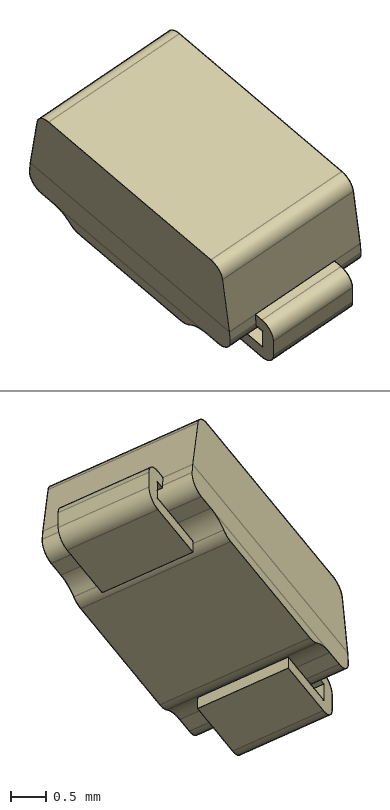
import cadquery as cq
import math

length = 5.0
depth = 2.48
height = 2.02

parting_z = 0.8
body_bottom_z = 0.345
parting_half_width = 2.115
upper_draft = 8.2
lower_draft = 5.0
body_corner_radius = 0.25

pad_bottom_z = 0.15
pad_flat_half_width = 1.08
pad_end_half_width = 1.62
pad_lower_arc_share = 0.35

lead_width = 1.5
lead_thickness = 0.23
lead_bend_radius = 0.245
foot_length = 1.2


def molded_half(end_z, end_half_width):
    """Tapered block from the parting plane to end_z, with its two end edges rounded."""
    block = (
        cq.Workplane("XZ")
        .polyline([
            (-parting_half_width, parting_z),
            (parting_half_width, parting_z),
            (end_half_width, end_z),
            (-end_half_width, end_z),
        ])
        .close()
        .extrude(depth / 2, both=True)
    )
    end_face = ">Z" if end_z > parting_z else "<Z"
    return block.faces(end_face).edges("|Y").fillet(body_corner_radius)


def make_body():
    """Upper half narrows upward; lower half widens downward. The parting line is kept."""
    upper_inset = (height - parting_z) * math.tan(math.radians(upper_draft))
    lower_flare = (parting_z - body_bottom_z) * math.tan(math.radians(lower_draft))
    upper = molded_half(height, parting_half_width - upper_inset)
    lower = molded_half(body_bottom_z, parting_half_width + lower_flare)
    return upper.union(lower, clean=False)


def make_pad():
    """Full-depth pad whose ends run from the body to the pad in two tangent arcs."""
    inflection_x = pad_flat_half_width + pad_lower_arc_share * (pad_end_half_width - pad_flat_half_width)
    inflection_z = pad_bottom_z + pad_lower_arc_share * (body_bottom_z - pad_bottom_z)
    half_pad = (
        cq.Workplane("XZ")
        .moveTo(0, pad_bottom_z)
        .lineTo(pad_flat_half_width, pad_bottom_z)
        .tangentArcPoint((inflection_x, inflection_z), relative=False)
        .tangentArcPoint((pad_end_half_width, body_bottom_z), relative=False)
        .lineTo(0, body_bottom_z)
        .close()
        .extrude(depth / 2, both=True)
    )
    return half_pad.union(half_pad.mirror("YZ"), clean=True)


def make_lead():
    """Lead on the +X side: out of the body below the parting plane, down and back under."""
    outer_x = length / 2
    inner_x = outer_x - lead_thickness
    foot_x = outer_x - foot_length
    root_x = parting_half_width - body_corner_radius
    strip = (
        cq.Workplane("XZ")
        .polyline([
            (root_x, parting_z),
            (outer_x, parting_z),
            (outer_x, 0),
            (foot_x, 0),
            (foot_x, lead_thickness),
            (inner_x, lead_thickness),
            (inner_x, parting_z - lead_thickness),
            (root_x, parting_z - lead_thickness),
        ])
        .close()
        .extrude(lead_width / 2, both=True)
    )
    return strip.faces(">X").edges("|Y").fillet(lead_bend_radius)


right_lead = make_lead()
result = make_body()
for feature in (make_pad(), right_lead, right_lead.mirror("YZ")):
    result = result.union(feature, clean=False)